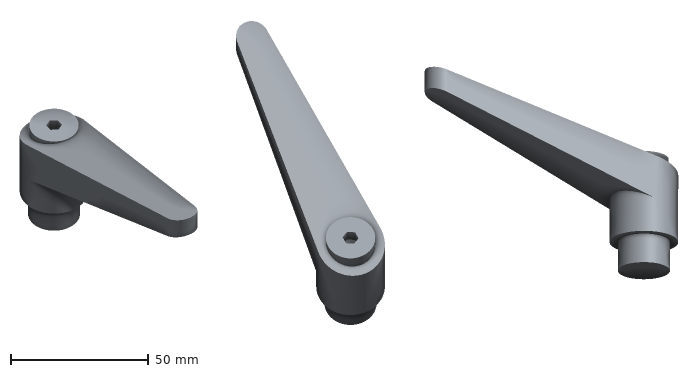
import math

import cadquery as cq

hub_radius = 12.5
collar_diameter = 19.0
collar_height = 11.0
arm_reach = 83.0
tip_radius = 6.0
overall_height = 63.72
top_slope = math.radians(15)
underside_slope = math.radians(20)
tip_thickness = 8.1
screw_diameter = 18.0
screw_top_height = 43.0
socket_across_flats = 5.0
socket_depth = 5.0
drill_point_angle = math.radians(118)

arm_end = arm_reach + tip_radius
top_height_at_axis = overall_height - arm_end * math.tan(top_slope)
underside_height_at_axis = overall_height - tip_thickness - arm_end * math.tan(underside_slope)

tangent_cos = (hub_radius - tip_radius) / arm_reach
tangent_sin = math.sqrt(1 - tangent_cos**2)


def cylinder(diameter, bottom, top):
    """Upright cylinder on the hub axis between two heights."""
    return cq.Workplane("XY", origin=(0, 0, bottom)).circle(diameter / 2).extrude(top - bottom)


def make_arm_blank():
    """Full-height prism with straight sides tangent to the hub and to the rounded tip."""
    root_x = hub_radius * tangent_cos
    root_y = hub_radius * tangent_sin
    tip_x = arm_reach + tip_radius * tangent_cos
    tip_y = tip_radius * tangent_sin
    return (
        cq.Workplane("XY")
        .moveTo(root_x, -root_y)
        .lineTo(tip_x, -tip_y)
        .threePointArc((arm_end, 0), (tip_x, tip_y))
        .lineTo(root_x, root_y)
        .close()
        .extrude(overall_height)
    )


def make_sloped_slab(bottom_at_axis, bottom_slope):
    """Slab under the sloping top face, bounded below by a plane of the given slope."""
    start_x = -hub_radius
    bottom_start = bottom_at_axis + start_x * math.tan(bottom_slope)
    bottom_end = bottom_at_axis + arm_end * math.tan(bottom_slope)
    top_start = top_height_at_axis + start_x * math.tan(top_slope)
    return (
        cq.Workplane("XZ")
        .moveTo(start_x, bottom_start)
        .lineTo(arm_end, bottom_end)
        .lineTo(arm_end, overall_height)
        .lineTo(start_x, top_start)
        .close()
        .extrude(hub_radius, both=True)
    )


def make_socket():
    """Hexagonal socket, corners along X, ending in a drill-point cone."""
    corner_radius = socket_across_flats / math.sqrt(3)
    cone_depth = corner_radius / math.tan(drill_point_angle / 2)
    floor = screw_top_height - socket_depth
    hexagon = (
        cq.Workplane("XY", origin=(0, 0, floor))
        .polygon(6, 2 * corner_radius)
        .extrude(socket_depth)
    )
    cone = cq.Workplane(
        cq.Solid.makeCone(0, corner_radius, cone_depth, pnt=cq.Vector(0, 0, floor - cone_depth))
    )
    return hexagon.union(cone)


collar = cylinder(collar_diameter, 0, collar_height)
hub_blank = cylinder(2 * hub_radius, collar_height, overall_height)
hub = hub_blank.intersect(make_sloped_slab(collar_height, 0))
arm = make_arm_blank().intersect(make_sloped_slab(underside_height_at_axis, underside_slope))
screw_head = cylinder(screw_diameter, collar_height, screw_top_height)

handle = hub.union(arm).union(collar)

result = handle.union(screw_head).cut(make_socket())